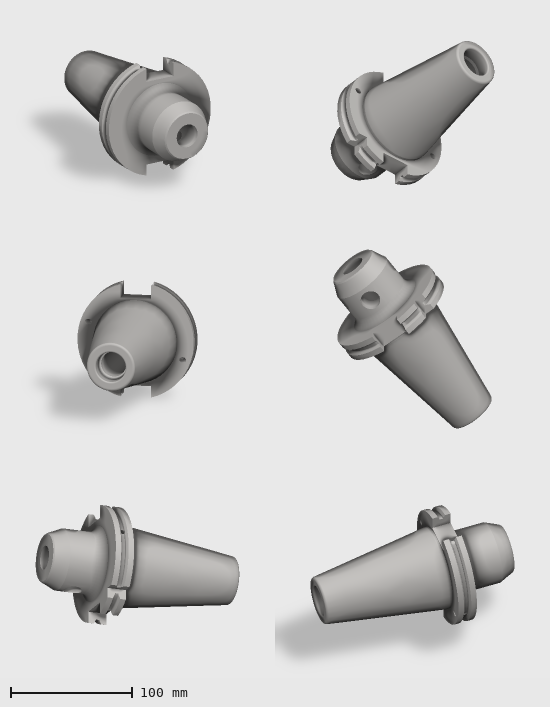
import cadquery as cq
import math

length = 164.8
taper_end = 102.3
flange_start = 104.8
flange_end = 121.0
nose_fillet_end = 128.7
nose_cone_start = 152.0
nose_edge_start = 163.6

gauge_radius = 69.9 / 2
taper_ratio = 7 / 24
end_radius = gauge_radius - taper_end * taper_ratio / 2
end_rounding = 2.1
relief_radius = 69.7 / 2
relief_chamfer = 0.8

flange_radius = 48.8
groove_center = 112.9
groove_mouth = 6.5
groove_throat = 3.6
groove_floor = 3.0
groove_throat_radius = 46.5
groove_floor_radius = 45.3

nose_radius = 51.5 / 2
nose_fillet = 8.0
nose_edge_radius = 20.8
nose_end_radius = 19.8

tool_bore_radius = 20.0 / 2
tool_bore_start = 98.8
clearance_bore_radius = 21.0 / 2
stud_bore_radius = 25.0 / 2
stud_bore_depth = 11.9
stud_seat_length = 1.2
stud_mouth_rounding = 1.3

slot_width = 25.7
upper_slot_floor = 35.6
lower_slot_floor = 37.4
notch_y = 30.1
notch_z = 30.0

screw_x = 140.4
screw_diameter = 16.0

coolant_angle = 20
radial_hole_diameter = 4.1
face_hole_diameter = 5.0
face_hole_radius = 42.2
face_hole_tilt = 30


def turned_body():
    """Shank, flange and nose as one solid of revolution about X."""
    rise = math.sqrt(nose_fillet**2 - (nose_fillet_end - flange_end) ** 2)
    fillet_center_radius = nose_radius + nose_fillet
    fillet_start_radius = fillet_center_radius - rise
    start_angle = math.atan2(-rise, flange_end - nose_fillet_end)
    mid_angle = (start_angle - math.pi / 2) / 2
    fillet_mid = (
        nose_fillet_end + nose_fillet * math.cos(mid_angle),
        fillet_center_radius + nose_fillet * math.sin(mid_angle),
    )
    profile = (
        cq.Workplane("XY")
        .lineTo(0, end_radius)
        .lineTo(taper_end, gauge_radius)
        .lineTo(taper_end + relief_chamfer, relief_radius)
        .lineTo(flange_start - relief_chamfer, relief_radius)
        .lineTo(flange_start, gauge_radius)
        .lineTo(flange_start, flange_radius)
        .lineTo(groove_center - groove_mouth / 2, flange_radius)
        .lineTo(groove_center - groove_throat / 2, groove_throat_radius)
        .lineTo(groove_center - groove_floor / 2, groove_floor_radius)
        .lineTo(groove_center + groove_floor / 2, groove_floor_radius)
        .lineTo(groove_center + groove_throat / 2, groove_throat_radius)
        .lineTo(groove_center + groove_mouth / 2, flange_radius)
        .lineTo(flange_end, flange_radius)
        .lineTo(flange_end, fillet_start_radius)
        .threePointArc(fillet_mid, (nose_fillet_end, nose_radius))
        .lineTo(nose_cone_start, nose_radius)
        .lineTo(nose_edge_start, nose_edge_radius)
        .lineTo(length, nose_end_radius)
        .lineTo(length, 0)
        .close()
    )
    body = profile.revolve(360, (0, 0, 0), (1, 0, 0))
    return body.faces("<X").edges().fillet(end_rounding)


def cylinder(start, direction, diameter, depth):
    """Straight cylinder running from a start point along a direction."""
    solid = cq.Solid.makeCylinder(diameter / 2, depth, cq.Vector(*start), cq.Vector(*direction))
    return cq.Workplane(solid)


def cut_bores(body):
    """Pull-stud bore with a rounded mouth and conical seat, clearance bore, then tool bore."""
    seat_end = stud_bore_depth + stud_seat_length
    profile = (
        cq.Workplane("XY")
        .lineTo(0, stud_bore_radius)
        .lineTo(stud_bore_depth, stud_bore_radius)
        .lineTo(seat_end, clearance_bore_radius)
        .lineTo(tool_bore_start, clearance_bore_radius)
        .lineTo(tool_bore_start, tool_bore_radius)
        .lineTo(length, tool_bore_radius)
        .lineTo(length, 0)
        .close()
    )
    body = body.cut(profile.revolve(360, (0, 0, 0), (1, 0, 0)))
    mouth = cq.selectors.RadiusNthSelector(0)
    return body.faces("<X").edges(mouth).fillet(stud_mouth_rounding)


def flange_block(y_min, y_max, z_min, z_max):
    """Box across the flange thickness, used to cut its rim."""
    width = flange_end - flange_start
    box = cq.Workplane("XY").box(width, y_max - y_min, z_max - z_min, centered=False)
    return box.translate((flange_start, y_min, z_min))


def cut_flange(body):
    """Two unequal drive slots and one corner notch."""
    half = slot_width / 2
    body = body.cut(flange_block(-half, half, upper_slot_floor, flange_radius))
    body = body.cut(flange_block(-half, half, -flange_radius, -lower_slot_floor))
    return body.cut(flange_block(notch_y, flange_radius, -flange_radius, -notch_z))


def cut_coolant_passages(body):
    """On each side, a radial hole from the groove to the bore and a slanted hole from the flange face."""
    tilt = math.radians(face_hole_tilt)
    slant_depth = (groove_center - flange_start) / math.cos(tilt)
    overrun = 3.3
    for angle in (coolant_angle, coolant_angle + 180):
        out_y = math.cos(math.radians(angle))
        out_z = math.sin(math.radians(angle))
        radial = cylinder(
            (groove_center, 0, 0), (0, out_y, out_z), radial_hole_diameter, flange_radius
        )
        slant_direction = (math.cos(tilt), -math.sin(tilt) * out_y, -math.sin(tilt) * out_z)
        start_radius = face_hole_radius + overrun * math.sin(tilt)
        slant_start = (
            flange_start - overrun * math.cos(tilt),
            start_radius * out_y,
            start_radius * out_z,
        )
        slanted = cylinder(slant_start, slant_direction, face_hole_diameter, slant_depth + overrun)
        body = body.cut(radial).cut(slanted)
    return body


def cut_screw_hole(body):
    """Clamping screw hole from below into the tool bore."""
    return body.cut(cylinder((screw_x, 0, 0), (0, 0, -1), screw_diameter, flange_radius))


result = cut_screw_hole(cut_coolant_passages(cut_flange(cut_bores(turned_body()))))